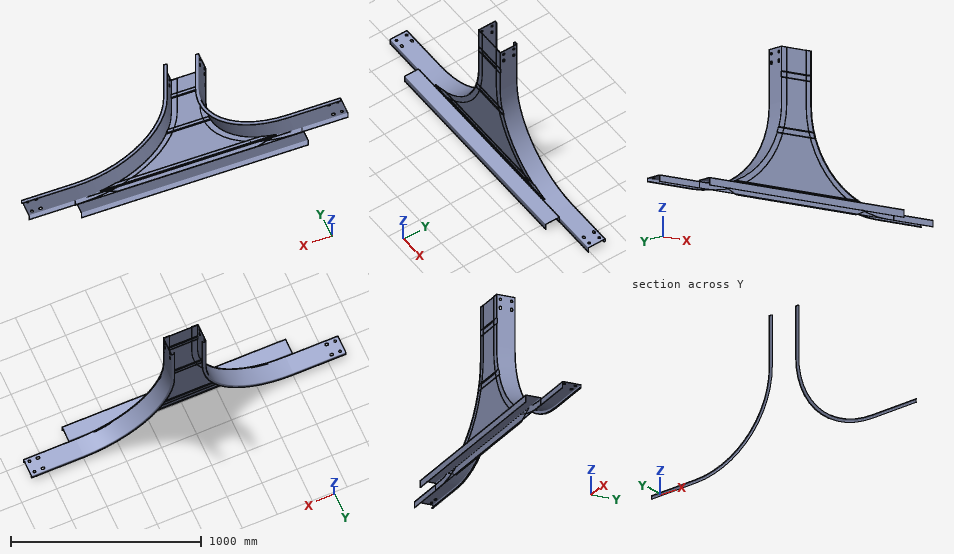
import cadquery as cq
import math

LENGTH = 1800.0
BRANCH_WIDTH = 200.0
SWEEP_RADIUS = 500.0
SHEET = 2.0

BEND_OUTSIDE_RADIUS = 4.0
BEND_INSIDE_RADIUS = BEND_OUTSIDE_RADIUS - SHEET

RAIL_DEPTH = 110.0
FRONT_FLANGE = 36.0
BACK_FLANGE = 20.0
LIP_DEPTH = 9.0
RAIL_BASE_Z = 40.0

HOLE_DIAMETER = 13.0
SLOT_LENGTH = 18.0
HOLE_FROM_END = 25.0
SLOT_FROM_END = 74.0
HOLE_ROW_INSET = 23.0
HOLE_ROW_SPACING = 65.0

FLOOR_INSET = BEND_OUTSIDE_RADIUS
FLOOR_BOTTOM_WIDTH = 788.0
FLOOR_CORNER_Z = 47.0
GROOVE_CENTERS_Z = (61.0, 389.0, 691.0)
GROOVE_WIDTH = 35.0
GROOVE_FLOOR_WIDTH = 27.0
GROOVE_DEPTH = 4.0

CHANNEL_LENGTH = 1280.0
CHANNEL_DEPTH = 90.0
CHANNEL_TOP_Z = 45.0
CHANNEL_HEIGHT = 41.0

HALF_LENGTH = LENGTH / 2
HALF_BRANCH = BRANCH_WIDTH / 2
SWEEP_CENTER_X = -HALF_BRANCH - SWEEP_RADIUS
SWEEP_CENTER_Z = RAIL_BASE_Z + SWEEP_RADIUS
TOP_Z = RAIL_BASE_Z + HALF_LENGTH - HALF_BRANCH


def sweep_point(inset, angle):
    """Point (x, z) on the left quarter sweep, inset from the web's outer face; 0 degrees points along +X."""
    radius = SWEEP_RADIUS + inset
    return (
        SWEEP_CENTER_X + radius * math.cos(math.radians(angle)),
        SWEEP_CENTER_Z + radius * math.sin(math.radians(angle)),
    )


def rail_band(outer, inner, front_y, back_y):
    """Strip along the left rail between two insets from the web's outer face."""
    return (
        cq.Workplane("XZ", origin=(0, front_y, 0))
        .moveTo(-HALF_LENGTH, RAIL_BASE_Z - outer)
        .lineTo(*sweep_point(outer, -90))
        .threePointArc(sweep_point(outer, -45), sweep_point(outer, 0))
        .lineTo(-HALF_BRANCH + outer, TOP_Z)
        .lineTo(-HALF_BRANCH + inner, TOP_Z)
        .lineTo(*sweep_point(inner, 0))
        .threePointArc(sweep_point(inner, -45), sweep_point(inner, -90))
        .lineTo(-HALF_LENGTH, RAIL_BASE_Z - inner)
        .close()
        .extrude(front_y - back_y)
    )


def round_bend(body, x, outside_corner, toward_inside):
    """Round one sheet bend: the outside edge and, one sheet further in, the inside edge.

    The corner and the direction are given as (y, z); x is the middle of the straight edge.
    """
    corner_y, corner_z = outside_corner
    inward_y, inward_z = toward_inside
    outside = cq.selectors.NearestToPointSelector((x, corner_y, corner_z))
    inside_point = (x, corner_y + inward_y * SHEET, corner_z + inward_z * SHEET)
    body = body.edges(outside).fillet(BEND_OUTSIDE_RADIUS)
    inside = cq.selectors.NearestToPointSelector(inside_point)
    return body.edges(inside).fillet(BEND_INSIDE_RADIUS)


def end_holes(end_face):
    """Cutters for the holes and slots at a rail end; local X runs from the end along the rail."""
    rows_y = (HOLE_ROW_INSET, HOLE_ROW_INSET + HOLE_ROW_SPACING)
    holes = end_face.pushPoints([(HOLE_FROM_END, y) for y in rows_y])
    slots = end_face.pushPoints([(SLOT_FROM_END, y) for y in rows_y])
    hole_cutters = holes.circle(HOLE_DIAMETER / 2).extrude(2 * SHEET, both=True)
    slot_cutters = slots.slot2D(SLOT_LENGTH, HOLE_DIAMETER).extrude(2 * SHEET, both=True)
    return hole_cutters.union(slot_cutters)


def make_left_rail():
    """Lipped channel that runs in from the left and sweeps up into the branch."""
    web = rail_band(0, SHEET, 0, RAIL_DEPTH)
    front_flange = rail_band(0, FRONT_FLANGE, 0, SHEET)
    back_flange = rail_band(0, BACK_FLANGE, RAIL_DEPTH - SHEET, RAIL_DEPTH)
    lip = rail_band(BACK_FLANGE - SHEET, BACK_FLANGE, RAIL_DEPTH - LIP_DEPTH, RAIL_DEPTH)

    rail = web.union(front_flange).union(back_flange).union(lip)
    run_middle_x = (-HALF_LENGTH + SWEEP_CENTER_X) / 2
    rail = round_bend(rail, run_middle_x, (0, RAIL_BASE_Z), (1, -1))
    rail = round_bend(rail, run_middle_x, (RAIL_DEPTH, RAIL_BASE_Z), (-1, -1))
    rail = round_bend(rail, run_middle_x, (RAIL_DEPTH, RAIL_BASE_Z - BACK_FLANGE), (-1, 1))

    run_end = cq.Plane((-HALF_LENGTH, 0, RAIL_BASE_Z), xDir=(1, 0, 0), normal=(0, 0, 1))
    branch_end = cq.Plane((-HALF_BRANCH, 0, TOP_Z), xDir=(0, 0, -1), normal=(1, 0, 0))
    run_holes = end_holes(cq.Workplane(run_end))
    branch_holes = end_holes(cq.Workplane(branch_end))
    return rail.cut(run_holes).cut(branch_holes)


def make_floor_plate():
    """Grooved sheet behind the front flanges, fitted between the two webs."""
    front_y = SHEET
    front_line = [(front_y, 0)]
    for center_z in GROOVE_CENTERS_Z:
        front_line += [
            (front_y, center_z - GROOVE_WIDTH / 2),
            (front_y + GROOVE_DEPTH, center_z - GROOVE_FLOOR_WIDTH / 2),
            (front_y + GROOVE_DEPTH, center_z + GROOVE_FLOOR_WIDTH / 2),
            (front_y, center_z + GROOVE_WIDTH / 2),
        ]
    front_line.append((front_y, TOP_Z))
    back_line = [(y + SHEET, z) for y, z in reversed(front_line)]
    sheet = cq.Workplane("YZ").polyline(front_line + back_line).close().extrude(HALF_LENGTH, both=True)

    corner_drop = SWEEP_CENTER_Z - FLOOR_CORNER_Z
    corner_angle = -math.degrees(math.asin(corner_drop / (SWEEP_RADIUS + FLOOR_INSET)))
    half_outline = (
        cq.Workplane("XZ")
        .moveTo(0, TOP_Z)
        .lineTo(-HALF_BRANCH + FLOOR_INSET, TOP_Z)
        .lineTo(*sweep_point(FLOOR_INSET, 0))
        .threePointArc(sweep_point(FLOOR_INSET, corner_angle / 2), sweep_point(FLOOR_INSET, corner_angle))
        .lineTo(-FLOOR_BOTTOM_WIDTH / 2, 0)
        .lineTo(0, 0)
        .close()
        .extrude(-RAIL_DEPTH)
    )
    outline = half_outline.union(half_outline.mirror("YZ"))
    return sheet.intersect(outline)


def make_channel():
    """Channel open downwards, with a flange on each side; the back one rests against the rails."""
    base = cq.Workplane("XY", origin=(0, -CHANNEL_DEPTH / 2, CHANNEL_TOP_Z - CHANNEL_HEIGHT))
    outside = base.rect(CHANNEL_LENGTH, CHANNEL_DEPTH).extrude(CHANNEL_HEIGHT)
    inside = base.rect(CHANNEL_LENGTH, CHANNEL_DEPTH - 2 * SHEET).extrude(CHANNEL_HEIGHT - SHEET)
    channel = outside.cut(inside)
    channel = round_bend(channel, 0, (0, CHANNEL_TOP_Z), (-1, -1))
    return round_bend(channel, 0, (-CHANNEL_DEPTH, CHANNEL_TOP_Z), (1, -1))


left_rail = make_left_rail()
right_rail = left_rail.mirror("YZ")
floor_plate = make_floor_plate()
channel = make_channel()

result = cq.Compound.makeCompound(
    [left_rail.val(), right_rail.val(), floor_plate.val(), channel.val()]
)